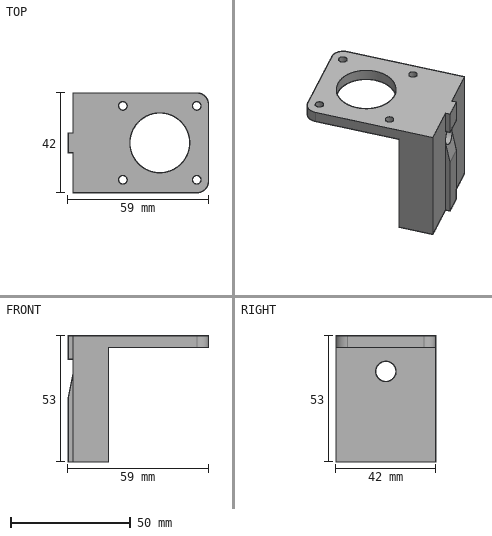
import cadquery as cq

length = 59.0
width = 42.0
height = 53.0

rib_depth = 2.0
block_thickness = 15.0
plate_thickness = 5.0
corner_radius = 5.0

motor_center_x = 38.5
motor_bore_diameter = 25.0
screw_spacing = 31.0
screw_diameter = 3.5

rib_width = 8.4
upper_rib_height = 10.0
ramp_bottom_z = 26.7
ramp_length = 10.0
ramp_top_z = ramp_bottom_z + ramp_length
clamp_hole_diameter = 8.4
clamp_hole_z = 38.0


def make_block():
    """Upright block behind the rib."""
    return cq.Workplane("XY").box(
        block_thickness, width, height, centered=(False, True, False)
    ).translate((rib_depth, 0, 0))


def make_motor_plate():
    """Top plate with rounded free corners, a motor bore and four screw holes."""
    plate = cq.Workplane("XY").box(
        length - rib_depth, width, plate_thickness, centered=(False, True, False)
    ).translate((rib_depth, 0, height - plate_thickness))
    plate = plate.edges("|Z and >X").fillet(corner_radius)
    motor_face = plate.faces(">Z").workplane(origin=(motor_center_x, 0, height))
    plate = motor_face.hole(motor_bore_diameter)
    screw_face = plate.faces(">Z").workplane(origin=(motor_center_x, 0, height))
    return screw_face.rect(screw_spacing, screw_spacing, forConstruction=True).vertices().hole(screw_diameter)


def make_upper_rib():
    """Short square-ended rib at the top of the block."""
    return cq.Workplane("XY").box(
        rib_depth, rib_width, upper_rib_height, centered=(False, True, False)
    ).translate((0, 0, height - upper_rib_height))


def make_lower_rib():
    """Long rib whose top end ramps back into the block face."""
    profile = [(0, 0), (rib_depth, 0), (rib_depth, ramp_top_z), (0, ramp_bottom_z)]
    return cq.Workplane("XZ").polyline(profile).close().extrude(rib_width / 2, both=True)


def make_clamp_hole():
    """Cutter for the hole that runs along X through the ramp and the block."""
    depth = rib_depth + block_thickness
    return cq.Workplane("YZ").center(0, clamp_hole_z).circle(clamp_hole_diameter / 2).extrude(depth)


body = make_block().union(make_motor_plate()).union(make_upper_rib()).union(make_lower_rib())
result = body.cut(make_clamp_hole())